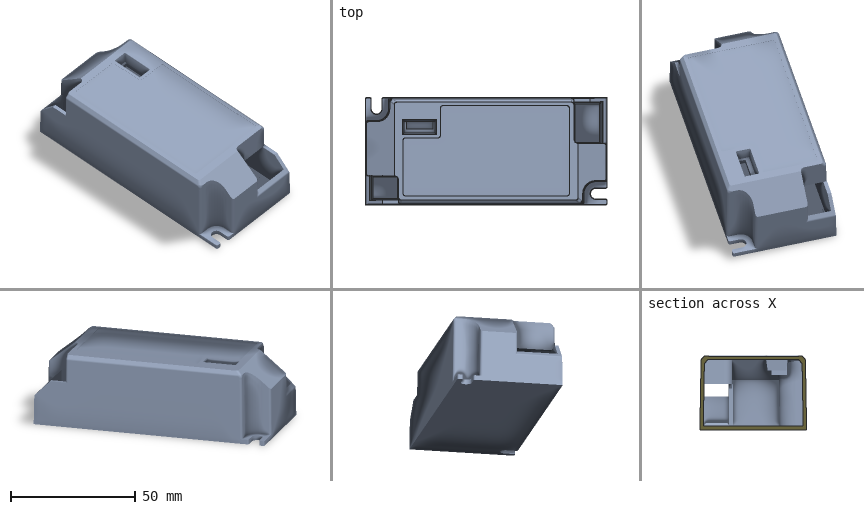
import cadquery as cq
import math

LENGTH = 97.2
WIDTH = 43.2
HEIGHT = 30.0
DRAFT = 1.0
WALL = 1.6
FLOOR = 1.9
EDGE_ROUND = 1.0
OVERCUT = 4.9

SLOPE_RUN = 11.7
SLOPE_FOOT = 0.5
SLOPE_FOOT_Z = 21.0
TOP_CHAMFER_IN = 1.4
TOP_CHAMFER_DOWN = 1.6
TOP_CORNER_ROUND = 1.4

TAB_SIZE = 9.3
TAB_CORNER_RADIUS = 4.9
TAB_TIP_ROUND = 0.7
SLOT_WIDTH = 4.4
SLOT_DEPTH = 6.7
SLOT_OFFSET = 4.5

OPENING_LENGTH = 13.3
FRONT_OPENING_WIDTH = 11.7
BACK_OPENING_WIDTH = 18.5
OPENING_CORNER_RADIUS = 1.9
OPENING_Z = 18.7
RIM_SLOPE_START = 6.8
RIB_LENGTH = 4.9
RIB_SETBACK = 0.3
PAD_MARGIN = 3.1
PAD_SIDE_MARGIN = 2.6
PAD_INSET = 0.4
PAD_HEIGHT = 1.0
PAD_FLARE = 35.0

WELL_LENGTH = 13.8
WELL_WIDTH = 6.0
WELL_LEFT = 14.9
WELL_BACK = 8.9
WELL_DEPTH = 4.4
WELL_TAPER = 8.0
SWITCH_LENGTH = 10.7
SWITCH_WIDTH = 3.0
SWITCH_DEPTH = 1.9

LABEL_DEPTH = 0.1
LABEL_END_MARGIN = 15.2
LABEL_FRONT_MARGIN = 3.6
LABEL_BACK_MARGIN = 3.3
LABEL_NOTCH_X = 30.1
LABEL_NOTCH_Y = 16.2
LABEL_ROUND = 1.0

X_END = LENGTH / 2
Y_SIDE = WIDTH / 2
WELL_X = -X_END + WELL_LEFT + WELL_LENGTH / 2
WELL_Y = Y_SIDE - WELL_BACK - WELL_WIDTH / 2


def box(x0, x1, y0, y1, z0, z1):
    """Axis-aligned block between two opposite corners."""
    return cq.Workplane("XY").box(x1 - x0, y1 - y0, z1 - z0, centered=False).translate((x0, y0, z0))


def half_turn(body):
    """The same body at the diagonally opposite corner."""
    return body.rotate((0, 0, 0), (0, 0, 1), 180)


def end_slope(inset):
    """Wedge above the left end slope, moved into the housing by inset."""
    rise = HEIGHT - SLOPE_FOOT_Z
    run = SLOPE_RUN - SLOPE_FOOT
    shift = inset * math.hypot(rise, run) / rise
    foot_x = -X_END + SLOPE_FOOT + shift - run
    wedge = cq.Workplane("XZ").polyline([
        (foot_x, SLOPE_FOOT_Z - rise),
        (foot_x + 3 * run, HEIGHT + rise),
        (foot_x, HEIGHT + rise),
    ]).close()
    return wedge.extrude(WIDTH, both=True)


def envelope(inset):
    """Drafted block with both sloped ends, shrunk by inset on its sides and top."""
    block = cq.Workplane("XY").rect(LENGTH - 2 * inset, WIDTH - 2 * inset)
    block = block.extrude(HEIGHT - inset, taper=DRAFT)
    block = block.faces(">Z").edges("|X").chamfer(TOP_CHAMFER_DOWN, TOP_CHAMFER_IN)
    wedge = end_slope(inset)
    return block.cut(wedge).cut(half_turn(wedge))


def tab_recess(inset):
    """Space above the back left mounting tab, grown by inset."""
    left = -X_END - OVERCUT
    right = -X_END + TAB_SIZE + inset
    front = Y_SIDE - TAB_SIZE - inset
    back = Y_SIDE + OVERCUT
    radius = TAB_CORNER_RADIUS + inset
    outline = cq.Workplane("XY", origin=(0, 0, FLOOR)).moveTo(left, front)
    outline = outline.lineTo(right - radius, front)
    outline = outline.radiusArc((right, front + radius), -radius)
    outline = outline.lineTo(right, back).lineTo(left, back).close()
    return outline.extrude(HEIGHT, taper=-DRAFT)


def terminal_space(width, inset):
    """Space above a front left terminal opening, its walls moved out by inset."""
    right = -X_END + OPENING_LENGTH + inset
    back = -Y_SIDE + width + inset
    top = HEIGHT + OVERCUT
    outline = cq.Workplane("XZ", origin=(0, back, 0)).polyline([
        (right, top),
        (right, OPENING_Z),
        (-X_END + RIM_SLOPE_START, OPENING_Z),
        (-X_END - OVERCUT, OPENING_Z - RIM_SLOPE_START - OVERCUT),
        (-X_END - OVERCUT, top),
    ]).close()
    space = outline.extrude(width + inset + OVERCUT)
    return space.edges("|Z and >X and >Y").fillet(OPENING_CORNER_RADIUS + inset)


def cut_outs(inset):
    """All corner cut-outs of the housing, grown by inset."""
    recess = tab_recess(inset)
    return [
        recess,
        half_turn(recess),
        terminal_space(FRONT_OPENING_WIDTH, inset),
        half_turn(terminal_space(BACK_OPENING_WIDTH, inset)),
    ]


def slot_cutter():
    """Open-ended screw slot along Y, with its mouth at the origin."""
    straight = SLOT_DEPTH - SLOT_WIDTH / 2
    slot = box(-SLOT_WIDTH / 2, SLOT_WIDTH / 2, -straight, OVERCUT, 0, FLOOR)
    end = cq.Workplane("XY").circle(SLOT_WIDTH / 2).extrude(FLOOR).translate((0, -straight, 0))
    return slot.union(end)


def round_near(body, spots, radius, bottom, top):
    """Round the edges centred near each (x, y) spot, between two heights."""
    for x, y in spots:
        lower = (x - radius, y - radius, bottom)
        upper = (x + radius, y + radius, top)
        body = body.edges(cq.selectors.BoxSelector(lower, upper)).fillet(radius)
    return body


def round_cut_out_edges(body):
    """Round the edges where the cut-outs break through the outer walls."""
    upright_edges = [
        (-X_END + TAB_SIZE, Y_SIDE),
        (-X_END, Y_SIDE - TAB_SIZE),
        (X_END - TAB_SIZE, -Y_SIDE),
        (X_END, -Y_SIDE + TAB_SIZE),
        (-X_END + OPENING_LENGTH, -Y_SIDE),
        (X_END - OPENING_LENGTH, Y_SIDE),
        (-X_END, -Y_SIDE + FRONT_OPENING_WIDTH),
        (X_END, Y_SIDE - BACK_OPENING_WIDTH),
    ]
    rim_edges = [
        (-X_END, -Y_SIDE + FRONT_OPENING_WIDTH / 2),
        (X_END, Y_SIDE - BACK_OPENING_WIDTH / 2),
    ]
    body = round_near(body, upright_edges, EDGE_ROUND, FLOOR, OPENING_Z + RIM_SLOPE_START)
    return round_near(body, rim_edges, EDGE_ROUND, FLOOR, OPENING_Z)


def round_top_corners(body):
    """Round the slanted edges between end slope and top chamfer above the mounting tabs."""
    corners = [
        (-X_END + SLOPE_RUN, Y_SIDE - TOP_CHAMFER_IN / 2),
        (X_END - SLOPE_RUN, -Y_SIDE + TOP_CHAMFER_IN / 2),
    ]
    for x, y in corners:
        lower = (x - SLOPE_RUN / 4, y - TOP_CHAMFER_IN, HEIGHT - TOP_CHAMFER_DOWN)
        upper = (x + SLOPE_RUN / 4, y + TOP_CHAMFER_IN, HEIGHT)
        slanted = body.edges(cq.selectors.BoxSelector(lower, upper)).edges("not(|X or |Y or #X)")
        body = slanted.fillet(TOP_CORNER_ROUND)
    return body


def round_tab_tips(body):
    """Round the upright outer edges of both mounting tabs, slot mouths included."""
    near_side = SLOT_OFFSET - SLOT_WIDTH / 2
    far_side = SLOT_OFFSET + SLOT_WIDTH / 2
    tips = []
    for step in (0, near_side, far_side):
        tips.append((-X_END + step, Y_SIDE))
        tips.append((X_END, -Y_SIDE + step))
    return round_near(body, tips, TAB_TIP_ROUND, FLOOR / 4, 3 * FLOOR / 4)


def switch_well(outset):
    """Tapered well below the roof, grown by outset on its sides and underneath."""
    well = cq.Workplane("XY", origin=(WELL_X, WELL_Y, HEIGHT))
    well = well.rect(WELL_LENGTH + 2 * outset, WELL_WIDTH + 2 * outset)
    return well.extrude(-WELL_DEPTH - outset, taper=WELL_TAPER)


def switch_pocket(outset):
    """Straight-sided pocket at the back of the well bottom, grown by outset."""
    back = WELL_Y + WELL_WIDTH / 2 - WELL_DEPTH * math.tan(math.radians(WELL_TAPER))
    half_length = SWITCH_LENGTH / 2 + outset
    well_bottom = HEIGHT - WELL_DEPTH
    return box(
        WELL_X - half_length, WELL_X + half_length,
        back - SWITCH_WIDTH - outset, back + outset,
        well_bottom - SWITCH_DEPTH - outset, well_bottom,
    )


def label_field():
    """Shallow L-shaped field on the roof."""
    left = -X_END + LABEL_END_MARGIN
    right = X_END - LABEL_END_MARGIN
    front = -Y_SIDE + LABEL_FRONT_MARGIN
    back = Y_SIDE - LABEL_BACK_MARGIN
    notch_x = -X_END + LABEL_NOTCH_X
    notch_y = Y_SIDE - LABEL_NOTCH_Y
    field = cq.Workplane("XY", origin=(0, 0, HEIGHT)).polyline([
        (left, front),
        (right, front),
        (right, back),
        (notch_x, back),
        (notch_x, notch_y),
        (left, notch_y),
    ]).close().extrude(-LABEL_DEPTH)
    return field.edges("|Z").fillet(LABEL_ROUND)


def partition_rib():
    """Rib that carries the front terminal side wall down to the floor."""
    y = -Y_SIDE + FRONT_OPENING_WIDTH + RIB_SETBACK
    return box(-X_END, -X_END + RIB_LENGTH, y, y + WALL, FLOOR, OPENING_Z)


def terminal_pad(width):
    """Low pad with slanted sides on the floor below a front left terminal opening."""
    length = OPENING_LENGTH - PAD_INSET - PAD_MARGIN
    depth = width - PAD_INSET - PAD_SIDE_MARGIN
    flare = PAD_HEIGHT * math.tan(math.radians(PAD_FLARE))
    pad = cq.Workplane("XY").rect(length + 2 * flare, depth + 2 * flare)
    pad = pad.extrude(PAD_HEIGHT, taper=PAD_FLARE)
    return pad.translate((
        -X_END + PAD_MARGIN + length / 2,
        -Y_SIDE + PAD_SIDE_MARGIN + depth / 2,
        FLOOR,
    ))


housing = envelope(0)
for cutter in cut_outs(0):
    housing = housing.cut(cutter)
housing = round_top_corners(housing)
housing = round_cut_out_edges(housing)

cavity = envelope(WALL).cut(box(-X_END, X_END, -Y_SIDE, Y_SIDE, 0, FLOOR))
for keep_out in cut_outs(WALL) + [switch_well(WALL), switch_pocket(WALL), partition_rib()]:
    cavity = cavity.cut(keep_out)
housing = housing.cut(cavity)
housing = housing.union(terminal_pad(FRONT_OPENING_WIDTH))
housing = housing.union(half_turn(terminal_pad(BACK_OPENING_WIDTH)))

housing = housing.cut(switch_well(0)).cut(switch_pocket(0)).cut(label_field())

back_slot = slot_cutter().translate((-X_END + SLOT_OFFSET, Y_SIDE, 0))
right_slot = slot_cutter().rotate((0, 0, 0), (0, 0, 1), -90)
right_slot = right_slot.translate((X_END, -Y_SIDE + SLOT_OFFSET, 0))
housing = housing.cut(back_slot).cut(right_slot)

result = round_tab_tips(housing)